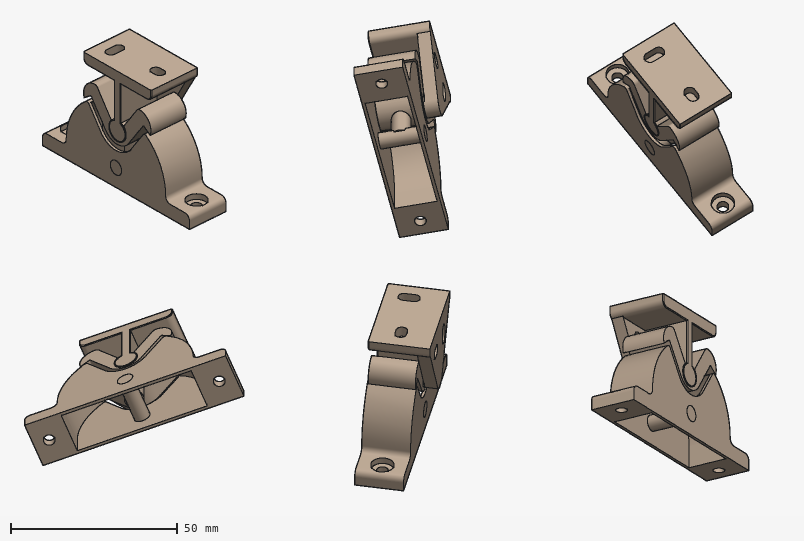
import cadquery as cq
import math

pin_z = 7.0
pin_diameter = 5.0
post_diameter = 6.0

base_length = 65.0
base_depth = 15.0
foot_height = 5.0
foot_round = 2.0
dome_radius = 22.0
dome_root_round = pin_z - foot_height
peak_round = 1.0
wall_thickness = 1.0
mid_y = base_depth / 2
screw_x = 27.5
screw_diameter = 3.5
counterbore_diameter = 7.0
counterbore_depth = 2.0

setback = 0.5
arm_angle = 55.0
bend_z = 21.25
bend_radius = 6.2
notch_gap = 1.95
arm_thickness = 4.75
hook_x = 9.7
hook_z = 26.65
hook_radius = 5.2
hook_inner_corner = 11.6
hook_inner_round = 0.3
hook_top_round = 1.6

total_height = 41.0
total_depth = 19.5
bracket_width = 30.0
plate_thickness = 4.0
plate_round = 2.0
stem_thickness = 3.0
bar_diameter = 7.4
bar_z = 19.8
web_angle = 60.7
web_overlap = 1.0
edge_chamfer = 0.25
slot_width = 3.5
plate_slot_depth = 3.4
long_slot = 6.7
short_slot = 5.2
plate_long_slot_place = (-9.3, 8.2)
plate_short_slot_place = (8.4, 9.35)
web_long_slot_place = (-5.6, 31.7)
web_short_slot_place = (5.8, 33.3)

arm_rad = math.radians(arm_angle)
slope = math.tan(arm_rad)
plate_bottom = total_height - plate_thickness


def front_plane(y):
    """Workplane at depth y; extrusions from it run toward -Y."""
    return cq.Workplane("XZ", origin=(0, y, 0))


def disc(x, z, radius, front, back):
    return front_plane(back).center(x, z).circle(radius).extrude(back - front)


def block(width, bottom, top, front, back):
    return (
        front_plane(back)
        .center(0, (bottom + top) / 2)
        .rect(width, top - bottom)
        .extrude(back - front)
    )


def vee(radius, top, front, back):
    """V prism with its bottom rounded about the bend centre."""
    tangent_x = radius * math.sin(arm_rad)
    tangent_z = bend_z - radius * math.cos(arm_rad)
    top_x = tangent_x + (top - tangent_z) / slope
    return (
        front_plane(back)
        .moveTo(-top_x, top)
        .lineTo(-tangent_x, tangent_z)
        .threePointArc((0, bend_z - radius), (tangent_x, tangent_z))
        .lineTo(top_x, top)
        .close()
        .extrude(back - front)
    )


def edges_near(body, x_min, x_max, z_min, z_max):
    """Edges along Y whose centres lie in the given X-Z window, on both sides of the middle."""
    return body.edges("|Y").filter(
        lambda e: x_min < abs(e.Center().x) < x_max and z_min < e.Center().z < z_max
    )


def make_post_and_pin():
    """Upright post under the cradle, joined to the cross pin."""
    post = (
        cq.Workplane("XY", origin=(0, mid_y, pin_z))
        .circle(post_diameter / 2)
        .extrude(bend_z - bend_radius / 2 - pin_z)
    )
    return post.union(disc(0, pin_z, pin_diameter / 2, 0, base_depth))


def make_cavity():
    """Hollow of the dome, open at the bottom."""
    radius = dome_radius - wall_thickness
    front = wall_thickness
    back = base_depth - wall_thickness
    cavity = block(2 * radius, 0, pin_z, front, back).union(disc(0, pin_z, radius, front, back))
    return cavity.intersect(block(base_length, 0, total_height, 0, base_depth))


def make_base(post_and_pin):
    half_length = base_length / 2
    root_x = dome_radius + dome_root_round
    root_mid_x = root_x - dome_root_round * math.sqrt(0.5)
    root_mid_z = pin_z - dome_root_round * math.sqrt(0.5)
    base = (
        front_plane(base_depth)
        .moveTo(-half_length, 0)
        .lineTo(-half_length, foot_height)
        .lineTo(-root_x, foot_height)
        .threePointArc((-root_mid_x, root_mid_z), (-dome_radius, pin_z))
        .threePointArc((0, pin_z + dome_radius), (dome_radius, pin_z))
        .threePointArc((root_mid_x, root_mid_z), (root_x, foot_height))
        .lineTo(half_length, foot_height)
        .lineTo(half_length, 0)
        .close()
        .extrude(base_depth)
    )
    base = edges_near(base, half_length - 0.05, half_length + 0.05, 0.5 * foot_height, pin_z).fillet(foot_round)
    base = base.cut(vee(bend_radius + notch_gap, total_height, 0, base_depth))
    base = edges_near(base, 0.5 * dome_radius, 0.8 * dome_radius, bend_z, total_height).fillet(peak_round)
    screws = (
        cq.Workplane("XY", origin=(0, mid_y, foot_height))
        .pushPoints([(-screw_x, 0), (screw_x, 0)])
    )
    base = base.cut(screws.circle(screw_diameter / 2).extrude(-foot_height))
    base = base.cut(screws.circle(counterbore_diameter / 2).extrude(-counterbore_depth))
    return base.cut(make_cavity()).cut(post_and_pin)


def make_hook(side):
    """Round head of one arm, cut off square to the arm on its lower side."""
    head = disc(side * hook_x, hook_z, hook_radius, setback, base_depth)
    outer_apex_z = bend_z - bend_radius / math.cos(arm_rad)
    corner_z = outer_apex_z + slope * hook_inner_corner
    outer_x = hook_x + 2 * hook_radius
    outer_z = corner_z - (outer_x - hook_inner_corner) / slope
    underside = (
        front_plane(base_depth)
        .polyline([
            (side * hook_inner_corner, corner_z),
            (side * outer_x, outer_z),
            (side * outer_x, outer_apex_z),
            (0, outer_apex_z),
        ])
        .close()
        .extrude(base_depth - setback)
    )
    return head.cut(underside)


def make_cradle(post_and_pin):
    cradle = vee(bend_radius, hook_z + 0.5, setback, base_depth)
    for side in (-1, 1):
        cradle = cradle.union(make_hook(side))
    apex_z = bend_z - (bend_radius - arm_thickness) / math.cos(arm_rad)
    opening_x = (total_height - apex_z) / slope
    opening = (
        front_plane(base_depth)
        .polyline([(0, apex_z), (opening_x, total_height), (-opening_x, total_height)])
        .close()
        .extrude(base_depth - setback)
    )
    cradle = cradle.cut(opening)
    hook_top = hook_z + 0.8 * hook_radius
    cradle = edges_near(
        cradle, hook_x - 0.5 * hook_radius, hook_x - 0.05, hook_top, total_height
    ).fillet(hook_top_round)
    cradle = edges_near(
        cradle, hook_inner_corner - 0.05, hook_inner_corner + 0.05, bend_z, hook_z + 0.65
    ).fillet(hook_inner_round)
    cradle = cradle.union(post_and_pin)
    return cradle.cut(disc(0, bar_z, bar_diameter / 2, setback, base_depth))


def make_bracket():
    plate = block(bracket_width, plate_bottom, total_height, setback, total_depth)
    plate = plate.edges("|Y and <Z").fillet(plate_round)
    stem = block(stem_thickness, bar_z, plate_bottom, setback, total_depth)
    bar = disc(0, bar_z, bar_diameter / 2, setback, total_depth)
    bracket = plate.union(stem).union(bar)
    bracket = bracket.faces("<Y").edges("not >Z").chamfer(edge_chamfer)

    web_rad = math.radians(web_angle)
    tangent_x = bar_diameter / 2 * math.sin(web_rad)
    tangent_z = bar_z - bar_diameter / 2 * math.cos(web_rad)
    web_top = plate_bottom + web_overlap
    top_x = tangent_x + (web_top - tangent_z) / math.tan(web_rad)
    web = (
        front_plane(total_depth)
        .polyline([(-tangent_x, tangent_z), (tangent_x, tangent_z), (top_x, web_top), (-top_x, web_top)])
        .close()
        .extrude(plate_thickness)
    )
    bracket = bracket.union(web)

    plate_top = cq.Workplane("XY", origin=(0, 0, total_height))
    web_back = front_plane(total_depth)
    slots = [
        plate_top.center(*plate_long_slot_place).slot2D(long_slot, slot_width, 90).extrude(-plate_slot_depth),
        plate_top.center(*plate_short_slot_place).slot2D(short_slot, slot_width).extrude(-plate_slot_depth),
        web_back.center(*web_long_slot_place).slot2D(long_slot, slot_width, 90).extrude(plate_thickness),
        web_back.center(*web_short_slot_place).slot2D(short_slot, slot_width).extrude(plate_thickness),
    ]
    for slot in slots:
        bracket = bracket.cut(slot)
    return bracket


post_and_pin = make_post_and_pin()
base = make_base(post_and_pin)
cradle = make_cradle(post_and_pin)
bracket = make_bracket()

result = cq.Compound.makeCompound([base.val(), cradle.val(), bracket.val()])